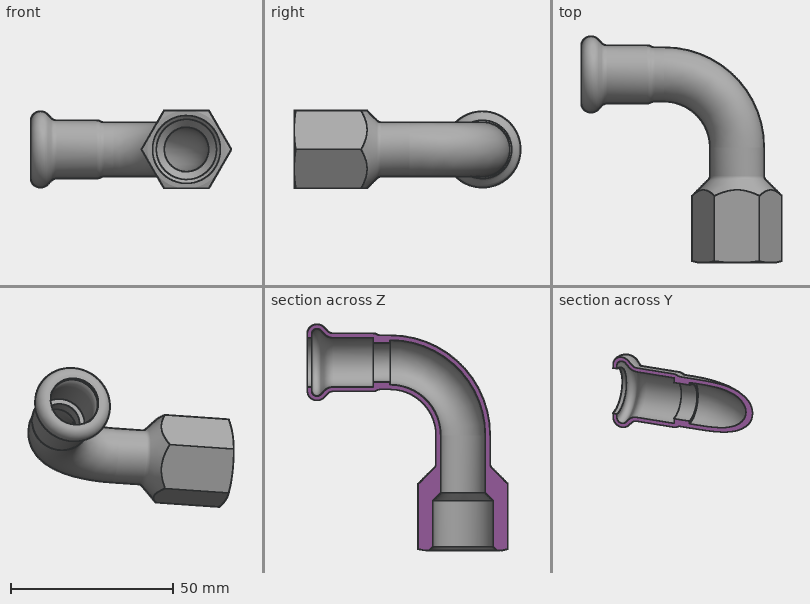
import cadquery as cq
import math

length_y = 69.75
length_x = 61.9

pipe_radius = 16.8 / 2
pipe_bore_radius = 13.7 / 2
bend_start_x = 25.6

socket_radius = 18.0 / 2
socket_bore_radius = 15.1 / 2
wall = socket_radius - socket_bore_radius
bead_radius = 23.6 / 2
bead_round = 3.1
bead_slope_end_x = 6.4
neck_start_x = 8.0
reduction_start_x = 20.4
reduction_end_x = 22.6
stop_radius = 11.9 / 2

hex_flats = 24.0
hex_corner_radius = hex_flats / math.sqrt(3)
hex_back_y = 20.6
back_fillet = 1.7
front_chamfer_angle = 15
thread_radius = 18.55 / 2
thread_mouth_radius = 20.9 / 2
thread_depth = 15.35

nut_x = length_x - hex_corner_radius
socket_y = length_y - bead_radius
bend_radius = nut_x - bend_start_x
bend_end_y = socket_y - bend_radius
bead_center_radius = bead_radius - bead_round
COS45 = math.cos(math.radians(45))


def revolve_socket(profile):
    """Revolve an (x, radius) profile about the socket axis."""
    return profile.close().revolve(360, (0, 0), (1, 0)).translate((0, socket_y, 0))


def revolve_nut(profile):
    """Revolve a (radius, y) profile about the nut axis."""
    return profile.close().revolve(360, (0, 0), (0, 1)).translate((nut_x, 0, 0))


def bead_point(radius, degrees):
    """Point on a circle about the bead centre, measured from the X direction."""
    angle = math.radians(degrees)
    return (bead_round + radius * math.cos(angle), bead_center_radius + radius * math.sin(angle))


def bead_and_neck(profile, inset):
    """Continue from the bead's front through its 45 degree flank to the straight socket wall."""
    round_radius = bead_round - inset
    flank_start = bead_point(round_radius, 45)
    neck_radius = (neck_start_x - bead_slope_end_x) / COS45 + inset
    neck_center_radius = socket_radius - inset + neck_radius
    flank_end = (neck_start_x - neck_radius * COS45, neck_center_radius - neck_radius * COS45)
    neck_middle = (
        neck_start_x - neck_radius * math.sin(math.radians(22.5)),
        neck_center_radius - neck_radius * math.cos(math.radians(22.5)),
    )
    return (
        profile.threePointArc(bead_point(round_radius, 112.5), flank_start)
        .lineTo(*flank_end)
        .threePointArc(neck_middle, (neck_start_x, socket_radius - inset))
    )


def socket_body():
    reduction_middle = (
        (reduction_start_x + reduction_end_x) / 2,
        (socket_radius + pipe_radius) / 2,
    )
    profile = cq.Workplane("XY").lineTo(0, bead_center_radius)
    return revolve_socket(
        bead_and_neck(profile, 0)
        .lineTo(reduction_start_x, socket_radius)
        .tangentArcPoint(reduction_middle, relative=False)
        .tangentArcPoint((reduction_end_x, pipe_radius), relative=False)
        .lineTo(bend_start_x, pipe_radius)
        .lineTo(bend_start_x, 0)
    )


def socket_cavity():
    """Socket bore with the seal groove inside the bead and the narrower stop behind it."""
    profile = (
        cq.Workplane("XY")
        .lineTo(0, socket_bore_radius)
        .lineTo(wall, socket_bore_radius)
        .lineTo(wall, bead_center_radius)
    )
    return revolve_socket(
        bead_and_neck(profile, wall)
        .lineTo(reduction_start_x, socket_bore_radius)
        .lineTo(reduction_start_x, stop_radius)
        .lineTo(bend_start_x, stop_radius)
        .lineTo(bend_start_x, 0)
    )


def bend(radius):
    """Quarter-turn round bar from the socket axis to the nut axis."""
    return (
        cq.Workplane("YZ", origin=(bend_start_x, socket_y, 0))
        .circle(radius)
        .revolve(90, (-bend_radius, 0), (-bend_radius, -1))
    )


def nut_body():
    """Hexagon with turned ends, running into the straight pipe behind it."""
    cone_top_y = hex_back_y + hex_corner_radius - pipe_radius
    fillet_tangent = back_fillet * math.tan(math.radians(22.5))
    fillet_end_y = cone_top_y + fillet_tangent
    flat_radius = hex_flats / 2
    chamfer = (hex_corner_radius - flat_radius) * math.tan(math.radians(front_chamfer_angle))
    envelope = revolve_nut(
        cq.Workplane("XY")
        .lineTo(flat_radius, 0)
        .lineTo(hex_corner_radius, chamfer)
        .lineTo(hex_corner_radius, hex_back_y)
        .lineTo(pipe_radius + fillet_tangent * COS45, cone_top_y - fillet_tangent * COS45)
        .tangentArcPoint((pipe_radius, fillet_end_y), relative=False)
        .lineTo(pipe_radius, bend_end_y)
        .lineTo(0, bend_end_y)
    )
    hexagon = (
        cq.Workplane("XZ", origin=(nut_x, 0, 0))
        .polygon(6, 2 * hex_corner_radius)
        .extrude(-bend_end_y)
    )
    return envelope.intersect(hexagon)


def nut_cavity():
    """Threaded bore with 45 degree cones at its mouth and at its bottom."""
    return revolve_nut(
        cq.Workplane("XY")
        .lineTo(thread_mouth_radius, 0)
        .lineTo(thread_radius, thread_mouth_radius - thread_radius)
        .lineTo(thread_radius, thread_depth)
        .lineTo(pipe_bore_radius, thread_depth + thread_radius - pipe_bore_radius)
        .lineTo(pipe_bore_radius, bend_end_y)
        .lineTo(0, bend_end_y)
    )


body = socket_body().union(bend(pipe_radius)).union(nut_body())
result = body.cut(bend(pipe_bore_radius)).cut(socket_cavity()).cut(nut_cavity())